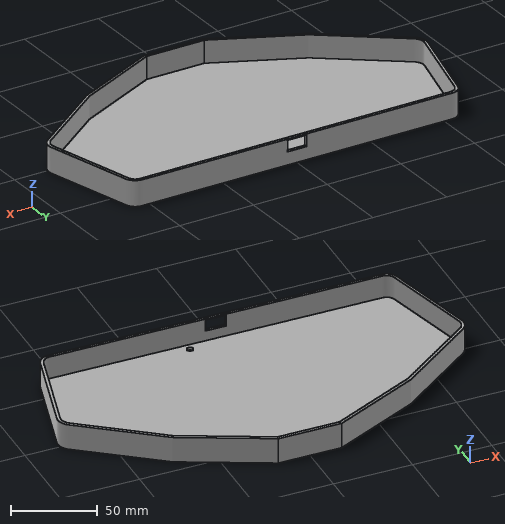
import cadquery as cq

depth = 135.0
height = 17.0
wall = 2.0
floor = 2.0

back_half_width = 111.1
side_half_width = 129.3
side_setback = 68.6
knee_half_width = 75.3
knee_setback = 108.8
front_half_width = 20.0
back_corner_radius = 8.0
side_corner_radius = 9.0

window_width = 13.0
window_bottom = 8.7
window_height = 7.5

hole_diameter = 3.8
hole_x = -18.5
hole_setback = 6.5

back_y = depth / 2


def rounded_prism(prism_height):
    """Solid tray outline with its back and side corners rounded."""
    right_side = [
        (back_half_width, back_y),
        (side_half_width, back_y - side_setback),
        (knee_half_width, back_y - knee_setback),
        (front_half_width, back_y - depth),
    ]
    left_side = [(-x, y) for x, y in reversed(right_side)]
    prism = cq.Workplane("XY").polyline(right_side + left_side).close().extrude(prism_height)
    return (
        prism.edges("|Z and >Y").fillet(back_corner_radius)
        .edges("|Z and (>X or <X)").fillet(side_corner_radius)
    )


def cavity():
    """Open space inside the walls, above the floor."""
    inner_outline = rounded_prism(height).faces("<Z").wires().toPending().offset2D(-wall, "intersection")
    return inner_outline.extrude(height, combine=False).translate((0, 0, floor))


def window():
    """Rectangular cutter centred across the back wall."""
    return (
        cq.Workplane("XY")
        .box(window_width, 2 * wall, window_height, centered=(True, True, False))
        .translate((0, back_y - wall / 2, window_bottom))
    )


def floor_hole():
    """Round cutter through the floor near the back wall."""
    return (
        cq.Workplane("XY")
        .center(hole_x, back_y - hole_setback)
        .circle(hole_diameter / 2)
        .extrude(floor)
    )


result = rounded_prism(height).cut(cavity()).cut(window()).cut(floor_hole())